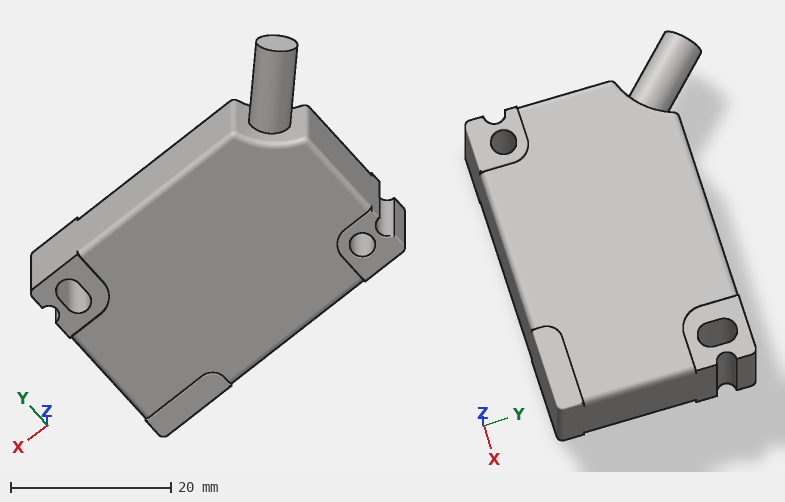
import cadquery as cq
import math

overall_length = 45.7
body_length = 40.02
body_width = 26.05
full_height = 12.0
pad_step = 0.2
edge_radius = 0.8
pad_edge_radius = 0.205

hollow_radius = 9.35
hollow_depth = 5.75
cable_diameter = 5.2
cable_embedding = 1.85

hole_pad_side = 7.0
hole_pad_radius = 2.55
slot_pad_side = 8.05
slot_pad_radius = 3.0
plain_pad_length = 11.3
plain_pad_width = 3.4
plain_pad_radius = 2.0

hole_diameter = 3.2
mount_inset = 4.0
hole_notch_radius = 1.4
slot_width = 3.25
slot_length = 5.03
slot_notch_radius = 1.3

main_height = full_height - 2 * pad_step
diagonal_share = math.sqrt(0.5)
through = 2 * full_height


def prism(outline, height):
    """Extrude a closed outline evenly about mid-height."""
    return outline.extrude(height / 2, both=True)


def outline_block(height):
    """Housing outline with the hollowed cable corner and rounded upright edges."""
    block = prism(cq.Workplane("XY").rect(body_length, body_width, centered=False), height)
    offset = (hollow_radius - hollow_depth) * diagonal_share
    hollow_center = (-offset, body_width + offset)
    hollow = prism(cq.Workplane("XY").center(*hollow_center).circle(hollow_radius), through)
    return block.cut(hollow).edges("|Z").fillet(edge_radius)


def pad_region(length, width, radius, at_right=False, at_rear=False):
    """Column over one housing corner, with only its inner upright edge rounded."""
    x_min = body_length - length if at_right else 0
    y_min = body_width - width if at_rear else 0
    column = cq.Workplane("XY").center(x_min, y_min).rect(length, width, centered=False)
    column = prism(column, full_height)
    inner_x = "<X" if at_right else ">X"
    inner_y = "<Y" if at_rear else ">Y"
    return column.edges("|Z").edges(inner_x).edges(inner_y).fillet(radius)


hole = prism(cq.Workplane("XY").center(mount_inset, mount_inset).circle(hole_diameter / 2), through)
hole_notch = prism(cq.Workplane("XY").center(0, mount_inset).circle(hole_notch_radius), through)
slot_outline = cq.Workplane("XY").center(body_length - mount_inset, body_width - mount_inset)
slot = prism(slot_outline.slot2D(slot_length, slot_width, 90), through)
slot_notch_outline = cq.Workplane("XY").center(body_length, body_width - mount_inset)
slot_notch = prism(slot_notch_outline.circle(slot_notch_radius), through)

full_block = outline_block(full_height)

hole_pad = pad_region(hole_pad_side, hole_pad_side, hole_pad_radius)
hole_pad = hole_pad.intersect(full_block).cut(hole).cut(hole_notch)
hole_pad = hole_pad.faces("<Z or >Z").edges().fillet(pad_edge_radius)
plain_pad = pad_region(plain_pad_length, plain_pad_width, plain_pad_radius, at_right=True)
plain_pad = plain_pad.intersect(full_block).faces("<Z or >Z").edges().fillet(pad_edge_radius)
slot_pad = pad_region(slot_pad_side, slot_pad_side, slot_pad_radius, at_right=True, at_rear=True)
slot_pad = slot_pad.intersect(full_block)

housing = outline_block(main_height).faces("<Z or >Z").edges().fillet(edge_radius)
housing = housing.cut(hole).cut(hole_notch)
housing = housing.union(hole_pad).union(plain_pad).union(slot_pad).cut(slot).cut(slot_notch)

cable_radius = cable_diameter / 2
end_offset = overall_length - body_length - cable_radius * diagonal_share
cable_length = end_offset / diagonal_share + hollow_depth + cable_embedding
cable_plane = cq.Plane((-end_offset, body_width + end_offset, 0), (0, 0, 1), (1, -1, 0))
cable = cq.Workplane(cable_plane).circle(cable_radius).extrude(cable_length)

result = housing.union(cable)